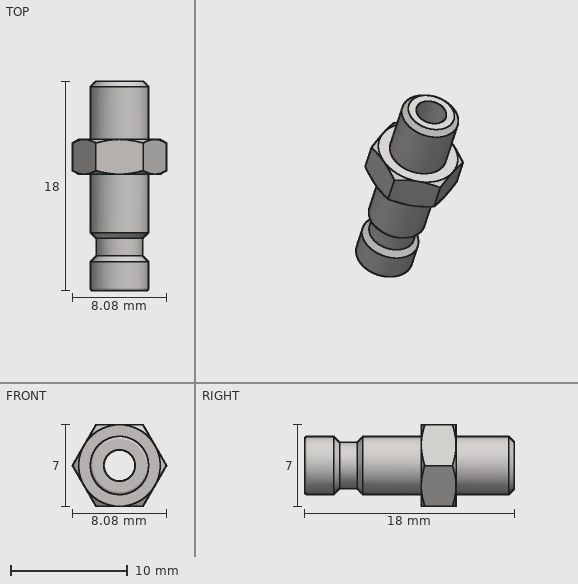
import cadquery as cq
import math

total_length = 18.0
collar_end = 2.5
neck_start = 3.0
neck_end = 4.5
body_start = 5.0
hex_start = 10.0
hex_end = 13.0

body_radius = 2.5
neck_radius = 2.0
bore_radius = 1.33
hex_across_flats = 7.0

plug_edge_fillet = 0.25
tail_chamfer = 0.47
hex_chamfer_angle = math.radians(30)

flat_radius = hex_across_flats / 2
corner_radius = flat_radius / math.cos(math.pi / 6)


def revolve_about_y(profile):
    """Revolve a closed XY profile around the Y axis."""
    return profile.close().revolve(360, (0, 0, 0), (0, 1, 0))


def make_stem():
    """Round stem with a necked plug end and a chamfered tail."""
    arc_middle = plug_edge_fillet * (1 - math.sqrt(0.5))
    profile = (
        cq.Workplane("XY")
        .lineTo(body_radius - plug_edge_fillet, 0)
        .threePointArc((body_radius - arc_middle, arc_middle), (body_radius, plug_edge_fillet))
        .lineTo(body_radius, collar_end)
        .lineTo(neck_radius, neck_start)
        .lineTo(neck_radius, neck_end)
        .lineTo(body_radius, body_start)
        .lineTo(body_radius, total_length - tail_chamfer)
        .lineTo(body_radius - tail_chamfer, total_length)
        .lineTo(0, total_length)
    )
    return revolve_about_y(profile)


def make_hex():
    """Hexagon with corners on X, its corners bevelled on both faces."""
    prism = (
        cq.Workplane("XZ", origin=(0, hex_end, 0))
        .polygon(6, 2 * corner_radius)
        .extrude(hex_end - hex_start)
    )
    corner_drop = (corner_radius - flat_radius) * math.tan(hex_chamfer_angle)
    envelope = (
        cq.Workplane("XY")
        .moveTo(0, hex_start)
        .lineTo(flat_radius, hex_start)
        .lineTo(corner_radius, hex_start + corner_drop)
        .lineTo(corner_radius, hex_end - corner_drop)
        .lineTo(flat_radius, hex_end)
        .lineTo(0, hex_end)
    )
    return prism.intersect(revolve_about_y(envelope))


bore = cq.Workplane("XZ").circle(bore_radius).extrude(-total_length)

result = make_stem().union(make_hex()).cut(bore)